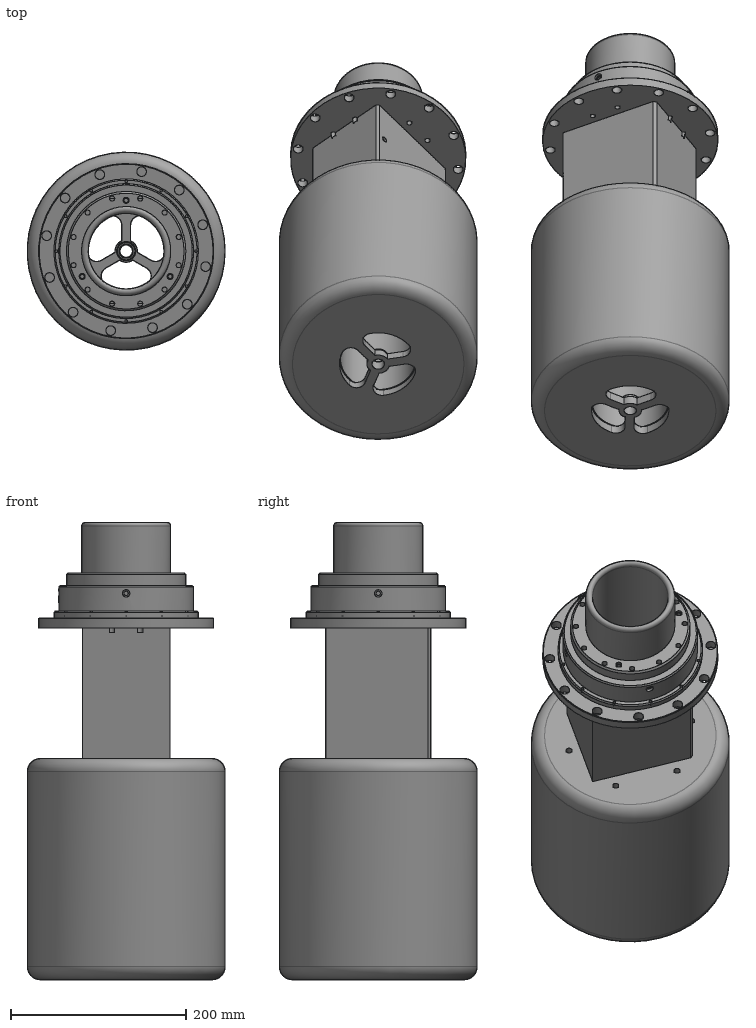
import cadquery as cq
import math

drum_diameter = 226.0
drum_height = 252.5
drum_rounding = 15.0

column_width = 100.0
column_depth = 120.0
column_chamfer = 3.0

flange_bottom = 401.5
flange_top = 413.0
ledge_top = 420.5
collar_top = 450.0
cap_top = 464.5
tube_top = 522.0

flange_diameter = 200.0
ledge_diameter = 165.0
collar_diameter = 154.0
cap_diameter = 136.0
tube_diameter = 102.0
bore_diameter = 86.0
step_chamfer = 1.5
cap_chamfer = 2.0
flange_chamfer = 0.8
rim_radius = (tube_diameter - bore_diameter) / 4
rim_level = tube_top - rim_radius

spider_thickness = 10.5
spoke_width = 10.5
window_outer_diameter = 88.0
window_corner = 10.5
hub_diameter = 25.5
boss_diameter = 22.0
boss_height = 5.0
boss_chamfer = 1.0
hub_hole_diameter = 14.0
spoke_count = 3
first_spoke_angle = 90

mounting_hole_count = 12
mounting_hole_diameter = 11.0
mounting_circle_radius = 92.5
mounting_first_angle = 19

pin_hole_count = 12
pin_first_angle = 0
pin_hole_diameter = 3.0
pin_circle_radius = (ledge_diameter + collar_diameter) / 4
pin_hole_depth = 5.0

cap_hole_count = 12
cap_hole_diameter = 6.0
cap_hole_bottom = 396.0
cap_circle_radius = 62.0
cap_hole_first_angle = 15
jack_hole_diameter = 4.9
jack_counterbore_diameter = 7.0
jack_counterbore_depth = 3.0
jack_hole_depth = cap_top - collar_top
jack_circle_radius = 58.0

radial_hole_count = 4
radial_hole_level = 441.0
radial_hole_depth = 10.5
radial_hole_diameter = 4.9
radial_counterbore_diameter = 8.5
radial_counterbore_depth = 3.0

column_hole_diameter = 7.0
column_hole_inner_diameter = 4.9
column_hole_step_depth = 3.0
column_hole_depth = 10.5
column_hole_y = 48.0
column_hole_levels = (294.0, 344.0)

drum_hole_count = 6
drum_hole_diameter = 7.0
drum_hole_depth = 10.5
drum_hole_circle_radius = 73.0
drum_hole_first_angle = 30


def disc(diameter, bottom, top):
    return cq.Workplane("XY").workplane(offset=bottom).circle(diameter / 2).extrude(top - bottom)


def chamfered_disc(diameter, bottom, top, chamfer):
    return disc(diameter, bottom, top).faces(">Z").edges().chamfer(chamfer)


def ring_of_holes(count, first_angle, circle_radius, diameter, bottom, top):
    """Vertical hole cutters, evenly spaced on a circle."""
    return (
        cq.Workplane("XY")
        .workplane(offset=bottom)
        .polarArray(circle_radius, first_angle, 360, count)
        .circle(diameter / 2)
        .extrude(top - bottom)
    )


def inward_hole(start, direction, diameter, depth):
    """Cutter that starts at a surface point and runs along a direction."""
    cylinder = cq.Solid.makeCylinder(diameter / 2, depth, cq.Vector(*start), cq.Vector(*direction))
    return cq.Workplane(cylinder)


def make_outer_body():
    drum = disc(drum_diameter, 0, drum_height).edges().fillet(drum_rounding)
    column = (
        cq.Workplane("XY")
        .workplane(offset=drum_height)
        .rect(column_width, column_depth)
        .extrude(flange_bottom - drum_height)
        .edges("|Z and >Y")
        .chamfer(column_chamfer)
    )
    tube = disc(tube_diameter, cap_top, rim_level)
    return (
        drum.union(column)
        .union(chamfered_disc(flange_diameter, flange_bottom, flange_top, flange_chamfer))
        .union(chamfered_disc(ledge_diameter, flange_top, ledge_top, step_chamfer))
        .union(chamfered_disc(collar_diameter, ledge_top, collar_top, step_chamfer))
        .union(chamfered_disc(cap_diameter, collar_top, cap_top, cap_chamfer))
        .union(tube)
    )


def is_outside_hub(edge):
    center = edge.Center()
    return math.hypot(center.x, center.y) > hub_diameter


def make_windows():
    """Three rounded sector openings that leave the spokes and the hub."""
    openings = disc(window_outer_diameter, 0, spider_thickness).cut(disc(hub_diameter, 0, spider_thickness))
    spoke_length = window_outer_diameter / 2
    for index in range(spoke_count):
        spoke = (
            cq.Workplane("XY")
            .center(spoke_length / 2, 0)
            .rect(spoke_length, spoke_width)
            .extrude(spider_thickness)
            .rotate((0, 0, 0), (0, 0, 1), first_spoke_angle + index * 360 / spoke_count)
        )
        openings = openings.cut(spoke)
    outer_corners = openings.edges("|Z").filter(is_outside_hub)
    return outer_corners.fillet(window_corner)


def cut_bore_and_spider(body):
    boss_top = spider_thickness + boss_height
    hub_hole = disc(hub_hole_diameter, 0, boss_top)
    boss = disc(boss_diameter, spider_thickness, boss_top).cut(hub_hole)
    boss = boss.faces(">Z").edges().chamfer(boss_chamfer)
    return (
        body.cut(disc(bore_diameter, spider_thickness, tube_top))
        .cut(make_windows())
        .cut(hub_hole)
        .union(boss)
    )


def make_tube_rim():
    """Full round over the end of the tube wall."""
    wall_middle_radius = (tube_diameter + bore_diameter) / 4
    return cq.Workplane(cq.Solid.makeTorus(wall_middle_radius, rim_radius, cq.Vector(0, 0, rim_level)))


def cut_flange_holes(body):
    mounting_holes = ring_of_holes(
        mounting_hole_count, mounting_first_angle, mounting_circle_radius, mounting_hole_diameter,
        flange_bottom, flange_top,
    )
    pin_holes = ring_of_holes(
        pin_hole_count, pin_first_angle, pin_circle_radius, pin_hole_diameter,
        ledge_top - pin_hole_depth, ledge_top,
    )
    return body.cut(mounting_holes).cut(pin_holes)


def cut_cap_holes(body):
    cap_holes = ring_of_holes(
        cap_hole_count, cap_hole_first_angle, cap_circle_radius, cap_hole_diameter,
        cap_hole_bottom, cap_top,
    )
    jack_holes = ring_of_holes(
        spoke_count, first_spoke_angle, jack_circle_radius, jack_hole_diameter,
        cap_top - jack_hole_depth, cap_top,
    )
    jack_counterbores = ring_of_holes(
        spoke_count, first_spoke_angle, jack_circle_radius, jack_counterbore_diameter,
        cap_top - jack_counterbore_depth, cap_top,
    )
    return body.cut(cap_holes).cut(jack_holes).cut(jack_counterbores)


def cut_drum_holes(body):
    drum_holes = ring_of_holes(
        drum_hole_count, drum_hole_first_angle, drum_hole_circle_radius, drum_hole_diameter,
        drum_height - drum_hole_depth, drum_height,
    )
    return body.cut(drum_holes)


def cut_radial_holes(body):
    radius = collar_diameter / 2
    for index in range(radial_hole_count):
        angle = math.radians(index * 360 / radial_hole_count)
        outward = (math.cos(angle), math.sin(angle))
        start = (radius * outward[0], radius * outward[1], radial_hole_level)
        inward = (-outward[0], -outward[1], 0)
        body = body.cut(inward_hole(start, inward, radial_counterbore_diameter, radial_counterbore_depth))
        body = body.cut(inward_hole(start, inward, radial_hole_diameter, radial_hole_depth))
    return body


def cut_column_holes(body):
    for level in column_hole_levels:
        start = (-column_width / 2, column_hole_y, level)
        body = body.cut(inward_hole(start, (1, 0, 0), column_hole_diameter, column_hole_step_depth))
        body = body.cut(inward_hole(start, (1, 0, 0), column_hole_inner_diameter, column_hole_depth))
    return body


body = make_outer_body()
body = cut_bore_and_spider(body)
body = body.union(make_tube_rim())
body = cut_flange_holes(body)
body = cut_cap_holes(body)
body = cut_drum_holes(body)
body = cut_radial_holes(body)
result = cut_column_holes(body)